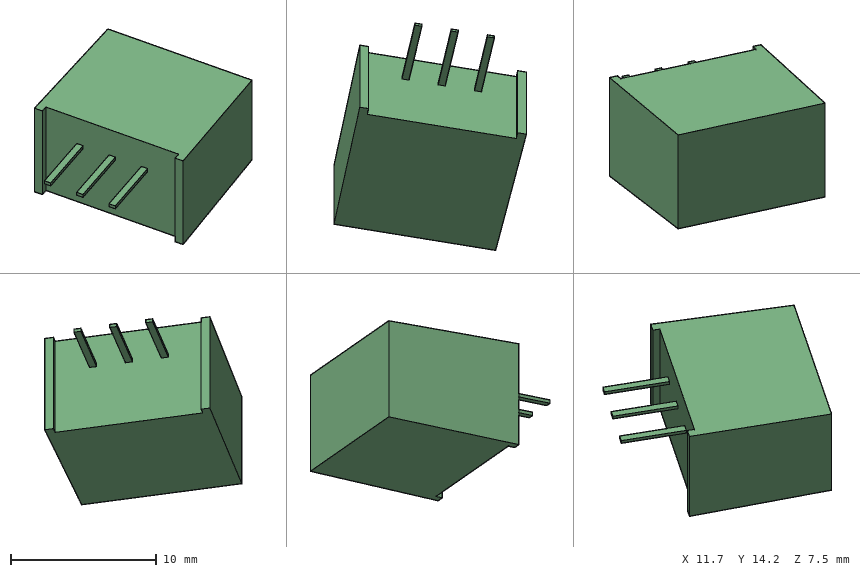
import cadquery as cq
import math

front_width = 11.7
front_height = 7.5
total_length = 14.2
body_length = 10.1
draft_angle = 1.0

wall_thickness = 0.62
recess_depth = 0.5

pin_count = 3
pin_pitch = 2.54
pin_width = 0.5
pin_thickness = 0.25
pin_height = 1.33

pin_exposed_length = total_length - body_length


def make_body():
    """Block drafted on all four sides, largest at the front."""
    taper = 2 * body_length * math.tan(math.radians(draft_angle))
    return (
        cq.Workplane("XZ")
        .rect(front_width, front_height)
        .workplane(offset=-body_length)
        .rect(front_width - taper, front_height - taper)
        .loft(ruled=True)
    )


def make_recess():
    """Full-height channel in the front face, between the two side walls."""
    return cq.Workplane("XY").box(
        front_width - 2 * wall_thickness,
        recess_depth,
        front_height,
        centered=(True, False, True),
    )


def make_pins():
    """Row of flat pins rising from the recess floor."""
    positions = [((i - (pin_count - 1) / 2) * pin_pitch, pin_height) for i in range(pin_count)]
    return (
        cq.Workplane("XZ", origin=(0, recess_depth, 0))
        .pushPoints(positions)
        .rect(pin_width, pin_thickness)
        .extrude(recess_depth + pin_exposed_length)
    )


result = make_body().cut(make_recess()).union(make_pins())